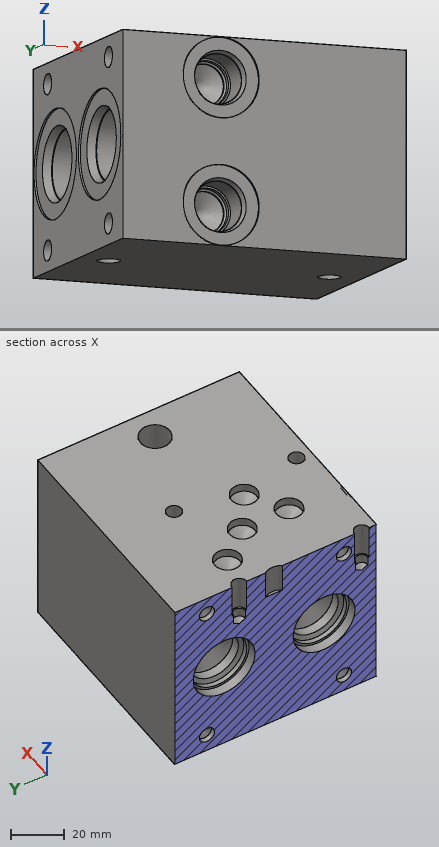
import cadquery as cq
import math

LENGTH = 114.3
WIDTH = 88.9
HEIGHT = 79.38

DRILL_POINT_ANGLE = 118.0
SPOTFACE_DEPTH = 0.8

LARGE_SPOTFACE_DIA = 42.04
LARGE_MOUTH_DIA = 29.2
LARGE_SEAT_DIA = 27.43
LARGE_MAJOR_DIA = 27.0
LARGE_MINOR_DIA = 24.92
LARGE_DRILL_DIA = 21.44
LARGE_SEAT_DEPTH = 3.3
LARGE_THREAD_DEPTH = 22.0
LARGE_DRILL_DEPTH = 29.0

SMALL_SPOTFACE_DIA = 30.64
SMALL_MOUTH_DIA = 20.8
SMALL_SEAT_DIA = 19.25
SMALL_MAJOR_DIA = 19.05
SMALL_MINOR_DIA = 17.5
SMALL_DRILL_DIA = 15.88
SMALL_SEAT_DEPTH = 2.6
SMALL_THREAD_DEPTH = 14.3
SMALL_DRILL_DEPTH = 17.5

RELIEF_LENGTH = 2.0

SPOTFACE_EDGE_GAP = 0.8
LARGE_PORT_SPACING = 44.05
PORT_T_Y = WIDTH - SPOTFACE_EDGE_GAP - LARGE_SPOTFACE_DIA / 2
PORT_P_Y = PORT_T_Y - LARGE_PORT_SPACING
SIDE_PORT_Z = HEIGHT / 2
FRONT_PORT_X = 39.7
PORT_A_Z = 15.48
PORT_B_Z = HEIGHT - PORT_A_Z

PATTERN_X = 17.9
PATTERN_Y = 6.4
PATTERN_SPAN_X = 46.0
PATTERN_SPAN_Y = 54.0
VALVE_PORT_DIA = 11.12
VALVE_PORT_DEPTH = 3.6
VALVE_PORT_PLACES = [(13.5, 50.8), (24.6, 37.3), (39.7, 27.0), (24.6, 16.7)]
VALVE_SCREW_MAJOR_DIA = 6.35
VALVE_SCREW_DRILL_DIA = 5.11
VALVE_SCREW_THREAD_DEPTH = 15.0
VALVE_SCREW_DRILL_DEPTH = 19.0

MOUNT_DIA = 8.74
MOUNT_BORE_DIA = 12.7
MOUNT_BORE_DEPTH = 12.7
MOUNT_END_GAP = 12.7
MOUNT_Y = 45.1

FLANGE_SPAN_Y = 60.4
FLANGE_SPAN_Z = 63.2
FLANGE_SCREW_MAJOR_DIA = 7.92
FLANGE_SCREW_DRILL_DIA = 6.53
FLANGE_SCREW_THREAD_DEPTH = 16.0
FLANGE_SCREW_DRILL_DEPTH = 20.0


def point_length(dia):
    """Length of the conical drill point at the bottom of a blind hole."""
    return dia / 2 / math.tan(math.radians(DRILL_POINT_ANGLE / 2))


def turned_cutter(profile):
    """Revolve (diameter, depth) steps, from the mouth inwards, into a cutter along -Z."""
    outline = [(0, 0)]
    outline += [(dia / 2, -depth) for dia, depth in profile]
    return cq.Workplane("XZ").polyline(outline).close().revolve(360, (0, 0), (0, 1))


def threaded_hole(major_dia, drill_dia, thread_depth, drill_depth):
    return turned_cutter([
        (major_dia, 0),
        (major_dia, thread_depth),
        (drill_dia, thread_depth),
        (drill_dia, drill_depth),
        (0, drill_depth + point_length(drill_dia)),
    ])


def port(spotface, mouth, seat, major, minor, drill, seat_depth, thread_depth, drill_depth):
    """Spotfaced port: tapered seal seat, thread bore, conical step and drilled end."""
    shoulder_depth = SPOTFACE_DEPTH + seat_depth
    relief_depth = thread_depth + RELIEF_LENGTH
    step_depth = relief_depth + point_length(minor) - point_length(drill)
    chamfer_depth = shoulder_depth + (seat - major) / 2
    return turned_cutter([
        (spotface, 0),
        (spotface, SPOTFACE_DEPTH),
        (mouth, SPOTFACE_DEPTH),
        (seat, shoulder_depth),
        (major, chamfer_depth),
        (major, thread_depth),
        (minor, thread_depth),
        (minor, relief_depth),
        (drill, step_depth),
        (drill, drill_depth),
        (0, drill_depth + point_length(drill)),
    ])


def cut_large_ports(body):
    cutter = port(
        LARGE_SPOTFACE_DIA, LARGE_MOUTH_DIA, LARGE_SEAT_DIA, LARGE_MAJOR_DIA, LARGE_MINOR_DIA,
        LARGE_DRILL_DIA, LARGE_SEAT_DEPTH, LARGE_THREAD_DEPTH, LARGE_DRILL_DEPTH,
    ).rotate((0, 0, 0), (0, 1, 0), -90)
    for y in (PORT_P_Y, PORT_T_Y):
        body = body.cut(cutter.translate((0, y, SIDE_PORT_Z)))
    return body


def cut_small_ports(body):
    cutter = port(
        SMALL_SPOTFACE_DIA, SMALL_MOUTH_DIA, SMALL_SEAT_DIA, SMALL_MAJOR_DIA, SMALL_MINOR_DIA,
        SMALL_DRILL_DIA, SMALL_SEAT_DEPTH, SMALL_THREAD_DEPTH, SMALL_DRILL_DEPTH,
    ).rotate((0, 0, 0), (1, 0, 0), 90)
    for z in (PORT_A_Z, PORT_B_Z):
        body = body.cut(cutter.translate((FRONT_PORT_X, 0, z)))
    return body


def cut_flange_screws(body):
    cutter = threaded_hole(
        FLANGE_SCREW_MAJOR_DIA, FLANGE_SCREW_DRILL_DIA, FLANGE_SCREW_THREAD_DEPTH, FLANGE_SCREW_DRILL_DEPTH
    ).rotate((0, 0, 0), (0, 1, 0), -90)
    for side_y in (-1, 1):
        for side_z in (-1, 1):
            y = WIDTH / 2 + side_y * FLANGE_SPAN_Y / 2
            z = HEIGHT / 2 + side_z * FLANGE_SPAN_Z / 2
            body = body.cut(cutter.translate((0, y, z)))
    return body


def cut_valve_pattern(body):
    screw = threaded_hole(
        VALVE_SCREW_MAJOR_DIA, VALVE_SCREW_DRILL_DIA, VALVE_SCREW_THREAD_DEPTH, VALVE_SCREW_DRILL_DEPTH
    )
    for dx in (0, PATTERN_SPAN_X):
        for dy in (0, PATTERN_SPAN_Y):
            body = body.cut(screw.translate((PATTERN_X + dx, PATTERN_Y + dy, HEIGHT)))
    valve_port = turned_cutter([
        (VALVE_PORT_DIA, 0),
        (VALVE_PORT_DIA, VALVE_PORT_DEPTH),
        (0, VALVE_PORT_DEPTH + point_length(VALVE_PORT_DIA)),
    ])
    for dx, dy in VALVE_PORT_PLACES:
        body = body.cut(valve_port.translate((PATTERN_X + dx, PATTERN_Y + dy, HEIGHT)))
    return body


def cut_mounting_holes(body):
    cutter = turned_cutter([
        (MOUNT_BORE_DIA, 0),
        (MOUNT_BORE_DIA, MOUNT_BORE_DEPTH),
        (MOUNT_DIA, MOUNT_BORE_DEPTH),
        (MOUNT_DIA, HEIGHT),
        (0, HEIGHT),
    ])
    for x in (MOUNT_END_GAP, LENGTH - MOUNT_END_GAP):
        body = body.cut(cutter.translate((x, MOUNT_Y, HEIGHT)))
    return body


result = cq.Workplane("XY").box(LENGTH, WIDTH, HEIGHT, centered=False)
result = cut_large_ports(result)
result = cut_small_ports(result)
result = cut_flange_screws(result)
result = cut_valve_pattern(result)
result = cut_mounting_holes(result)